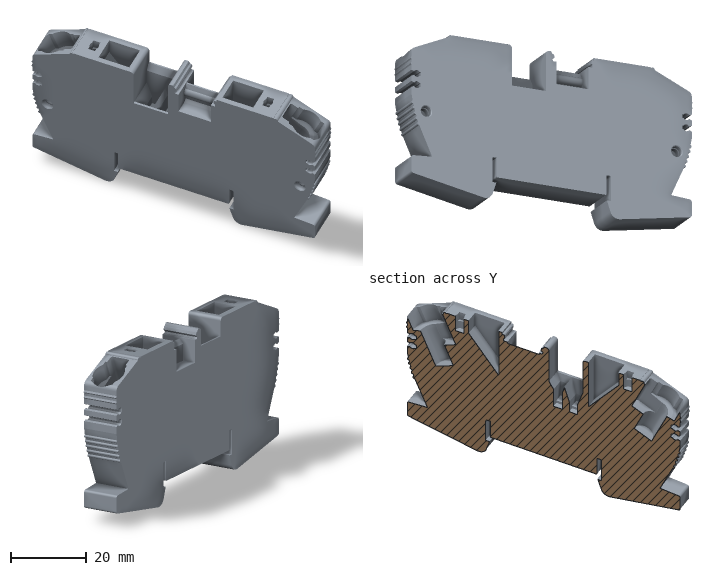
import cadquery as cq
import math

length = 82.6
thickness = 10.1
height = 44.2
half_y = thickness / 2
opening_y = -0.2

tooth_height = 0.25
end_x = length / 2 - tooth_height
tooth_tops = (36.5, 35.0)
tooth_span = 0.8
tooth_tip_drop = 0.5
marker_slot_z = (31.9, 28.75)
marker_slot_depth = 2.7
marker_slot_half = 0.54
marker_mouth_half = 0.8
marker_mouth_depth = 0.7
marker_bulge_depth = 1.6
marker_bulge_diameter = 1.9

grip_top_z = 25.9
grip_mid = (40.15, 21.8)
grip_end = (38.8, 17.6)
ridge_count = 5
ridge_first_z = 23.7
ridge_last_z = 17.9
ridge_pitch = (ridge_first_z - ridge_last_z) / (ridge_count - 1)
ridge_radius = 0.4

foot_crotch = (35.0, 9.2)
foot_top_z = 8.75
foot_low_z = 3.9
foot_slope = math.radians(10.3)
foot_corner_radius = 0.7
hook_radius = 2.5
hook_centre_x = 19.6
hook_lean = math.radians(18.6)
hook_top_z = 4.8
seat_half = 16.1
seat_z = 6.3
rail_slot_outer = 17.35
rail_slot_top_z = 11.8
rail_slot_radius = 0.4
seat_corner_radius = 0.3

shoulder_x = 30.2
shoulder_z = 43.5
shoulder_low_z = 38.7
shoulder_radius = 1.5
lip_width = 0.75
lip_groove_width = 0.5
lip_groove_depth = 0.12
lip_radius = 0.65

pocket_left = -11.65
pocket_right = -1.65
pocket_z = 32.8
pocket_edge_radius = 0.9
pocket_front_y = -4.4
pocket_back_y = 3.4
gap_left = 1.4
gap_right = 10.8
gap_z = 35.2
gap_shoulder_z = 41.5


def prism_xz(points):
    """Extrude an X-Z polygon through the whole thickness."""
    return cq.Workplane("XZ").polyline(points).close().extrude(half_y, both=True)


def box(x0, x1, y0, y1, z0, z1):
    return cq.Workplane("XY").box(x1 - x0, y1 - y0, z1 - z0, centered=False).translate((x0, y0, z0))


def both_ends(shape):
    return shape.union(shape.mirror("YZ"))


def round_edge(body, x, z, radius):
    """Fillet the cross edge that runs through (x, z)."""
    return body.edges("|Y").edges(cq.NearestToPointSelector((x, 0, z))).fillet(radius)


def half_housing():
    slope_start = (hook_centre_x + hook_radius * math.sin(foot_slope),
                   hook_radius * (1 - math.cos(foot_slope)))
    hook_start = (hook_centre_x - hook_radius * math.cos(hook_lean),
                  hook_radius * (1 - math.sin(hook_lean)))
    hook_tip_x = hook_start[0] - (hook_top_z - hook_start[1]) * math.tan(hook_lean)
    groove_outer = shoulder_x - lip_width
    groove_inner = groove_outer - lip_groove_width
    groove_z = height - lip_groove_depth
    half = (
        cq.Workplane("XZ")
        .moveTo(0, seat_z)
        .lineTo(seat_half, seat_z)
        .lineTo(seat_half, rail_slot_top_z)
        .lineTo(rail_slot_outer, rail_slot_top_z)
        .lineTo(rail_slot_outer, hook_top_z)
        .lineTo(hook_tip_x, hook_top_z)
        .lineTo(*hook_start)
        .threePointArc((hook_centre_x, 0), slope_start)
        .lineTo(end_x, slope_start[1] + (end_x - slope_start[0]) * math.tan(foot_slope))
        .lineTo(end_x, foot_top_z)
        .lineTo(*foot_crotch)
        .lineTo(*grip_end)
        .threePointArc(grip_mid, (end_x, grip_top_z))
        .lineTo(end_x, shoulder_low_z)
        .lineTo(shoulder_x, shoulder_z)
        .lineTo(shoulder_x, height)
        .lineTo(groove_outer, height)
        .lineTo(groove_outer, groove_z)
        .lineTo(groove_inner, groove_z)
        .lineTo(groove_inner, height)
        .lineTo(0, height)
        .close()
        .extrude(half_y, both=True)
    )
    half = round_edge(half, end_x, foot_low_z, foot_corner_radius)
    half = round_edge(half, end_x, foot_top_z, foot_corner_radius)
    half = round_edge(half, end_x, shoulder_low_z, shoulder_radius)
    half = round_edge(half, shoulder_x, height, lip_radius)
    half = round_edge(half, rail_slot_outer, rail_slot_top_z, rail_slot_radius)
    half = round_edge(half, seat_half, seat_z, seat_corner_radius)
    for slot_z in marker_slot_z:
        half = half.cut(marker_slot(slot_z))
    for top_z in tooth_tops:
        half = half.union(catch_tooth(top_z))
    for index in range(ridge_count):
        half = half.union(grip_ridge(ridge_first_z - index * ridge_pitch))
    return half


def marker_slot(slot_z):
    """Snap slot: flared mouth, narrow neck and a round bulge."""
    neck_x = end_x - marker_mouth_depth
    back_x = end_x - marker_slot_depth
    slot = prism_xz([
        (end_x, slot_z + marker_mouth_half),
        (neck_x, slot_z + marker_slot_half),
        (back_x, slot_z + marker_slot_half),
        (back_x, slot_z - marker_slot_half),
        (neck_x, slot_z - marker_slot_half),
        (end_x, slot_z - marker_mouth_half),
    ])
    bulge = (
        cq.Workplane("XZ").center(end_x - marker_bulge_depth, slot_z)
        .circle(marker_bulge_diameter / 2).extrude(half_y, both=True)
    )
    return slot.union(bulge)


def catch_tooth(top_z):
    root_x = end_x - tooth_height
    return prism_xz([
        (root_x, top_z),
        (end_x, top_z),
        (end_x + tooth_height, top_z - tooth_tip_drop),
        (end_x, top_z - tooth_span),
        (root_x, top_z - tooth_span),
    ])


def arc_through(first, middle, last):
    """Centre and radius of the circle through three points."""
    (ax, ay), (bx, by), (cx, cy) = first, middle, last
    det = 2 * (ax * (by - cy) + bx * (cy - ay) + cx * (ay - by))
    a2 = ax ** 2 + ay ** 2
    b2 = bx ** 2 + by ** 2
    c2 = cx ** 2 + cy ** 2
    ux = (a2 * (by - cy) + b2 * (cy - ay) + c2 * (ay - by)) / det
    uy = (a2 * (cx - bx) + b2 * (ax - cx) + c2 * (bx - ax)) / det
    return ux, uy, math.hypot(ax - ux, ay - uy)


def grip_ridge(ridge_z):
    """Round ridge centred on the curved grip face."""
    centre_x, centre_z, radius = arc_through(grip_end, grip_mid, (end_x, grip_top_z))
    ridge_x = centre_x + math.sqrt(radius ** 2 - (ridge_z - centre_z) ** 2)
    return cq.Workplane("XZ").center(ridge_x, ridge_z).circle(ridge_radius).extrude(half_y, both=True)


entry_x = 36.5
entry_radius = 4.4
entry_depth = 4.95
entry_flat_half = 3.4
entry_flat_radius = 5.1
entry_flat_inner = 4.1
entry_slot_inner = 6.5
entry_slot_depth = 9.9
entry_slot_radius = 0.5
bore_radius = 2.8
bore_depth = 16.5
bore_rim_radius = 4.05
bore_rim_depth = 0.25
clearance = 2.5


def wire_entry():
    slope = (shoulder_z - shoulder_low_z) / (end_x - shoulder_x)
    tilt = math.atan(slope)
    entry_z = shoulder_z - slope * (entry_x - shoulder_x)
    plane = cq.Plane(
        origin=(entry_x, opening_y, entry_z),
        xDir=(math.cos(tilt), 0, -math.sin(tilt)),
        normal=(math.sin(tilt), 0, math.cos(tilt)),
    )

    def sunk(depth):
        return cq.Workplane(plane).workplane(offset=-depth)

    mouth = sunk(entry_depth).circle(entry_radius).extrude(entry_depth + clearance)
    band_length = 2 * entry_flat_radius
    band = sunk(entry_depth).rect(band_length, 2 * entry_flat_half).extrude(entry_depth + clearance)
    flat = band.intersect(sunk(entry_depth).circle(entry_flat_radius).extrude(entry_depth + clearance))
    flat_end = (
        sunk(entry_depth).center(-entry_flat_inner / 2, 0)
        .rect(entry_flat_inner, 2 * entry_flat_half).extrude(entry_depth + clearance)
    )
    rim = (
        sunk(entry_depth).circle(bore_rim_radius)
        .workplane(offset=-bore_rim_depth).circle(bore_radius).loft()
    )
    slot = (
        sunk(entry_slot_depth).center(-entry_slot_inner / 2, 0)
        .rect(entry_slot_inner, 2 * bore_radius).extrude(entry_slot_depth)
        .edges(cq.selectors.ParallelDirSelector(plane.zDir)).fillet(entry_slot_radius)
    )
    bore = sunk(bore_depth).circle(bore_radius).extrude(bore_depth)
    return mouth.union(flat).union(flat_end).union(rim).union(slot).union(bore)


window_inner = 13.55
window_outer = 22.5
window_width = 6.85
window_wall_z = 39.8
window_floor_z = 28.9
test_x = 25.3
test_diameter = 2.5
test_slot_length = 3.4
test_slot_width = 2.0
test_slot_depth = 2.5
test_depth = 4.95


def release_window():
    """Rectangular shaft whose floor falls steeply towards the middle."""
    shaft = (
        cq.Workplane("XZ")
        .polyline([
            (window_inner, height),
            (window_outer, height),
            (window_outer, window_wall_z),
            (window_inner, window_floor_z),
        ])
        .close()
        .extrude(window_width / 2, both=True)
    )
    return shaft.translate((0, opening_y, 0))


def test_hole():
    deck = cq.Workplane("XY", origin=(test_x, opening_y, height))
    hole = deck.circle(test_diameter / 2).extrude(-test_depth)
    return hole.union(deck.rect(test_slot_width, test_slot_length).extrude(-test_slot_depth))


peg_x = 36.7
peg_z = 21.7
peg_rim_diameter = 3.4
peg_diameter = 3.0
peg_depth = 1.65
peg_pilot_diameter = 2.5
peg_pilot_depth = 3.3


def peg_hole():
    face = cq.Workplane("XZ", origin=(peg_x, -half_y, peg_z))
    rim = (peg_rim_diameter - peg_diameter) / 2
    hole = face.circle(peg_diameter / 2).extrude(-peg_depth)
    pilot = face.circle(peg_pilot_diameter / 2).extrude(-peg_pilot_depth)
    countersink = face.circle(peg_rim_diameter / 2).workplane(offset=-rim).circle(peg_diameter / 2).loft()
    return hole.union(pilot).union(countersink)


ledge_top_z = 39.1
ledge_edge_z = 37.25
ledge_flat_y = 4.6
divider_x = -6.3
well_spans = ((-10.1, -7.8), (-5.5, -3.05))
well_front_y = -3.8
well_taper_z = (28.1, 30.6)
well_floor_z = 25.6
contact_half = 1.5
contact_depth = 0.8


def jumper_pocket():
    profile = [
        (-half_y, pocket_z),
        (-half_y, height),
        (half_y, height),
        (half_y, ledge_top_z),
        (ledge_flat_y, ledge_top_z),
        (pocket_back_y, ledge_edge_z),
        (pocket_back_y, pocket_z),
    ]
    pocket = (
        cq.Workplane("YZ", origin=(pocket_left, 0, 0))
        .polyline(profile).close().extrude(pocket_right - pocket_left)
    )
    mouths = ((pocket_left, divider_x), (divider_x, pocket_right))
    for mouth, span, taper_z in zip(mouths, well_spans, well_taper_z):
        pocket = pocket.union(contact_well(mouth, span, taper_z))
    return pocket


def contact_well(mouth, span, taper_z):
    """Tapered mouth leading into a straight well with a deeper centre strip."""
    mouth_depth = pocket_back_y - pocket_front_y
    well_depth = pocket_back_y - well_front_y
    mouth_x = sum(mouth) / 2
    mouth_y = (pocket_back_y + pocket_front_y) / 2
    well_x = sum(span) / 2
    well_y = (pocket_back_y + well_front_y) / 2
    taper = (
        cq.Workplane("XY", origin=(mouth_x, mouth_y, pocket_z))
        .rect(mouth[1] - mouth[0], mouth_depth)
        .workplane(offset=taper_z - pocket_z)
        .center(well_x - mouth_x, well_y - mouth_y)
        .rect(span[1] - span[0], well_depth)
        .loft(ruled=True)
    )
    well = box(*span, well_front_y, pocket_back_y, well_floor_z, taper_z)
    strip = box(*span, -contact_half, contact_half, well_floor_z - contact_depth, well_floor_z)
    return taper.union(well).union(strip)


partition_snap = [(0.5, gap_shoulder_z), (0.25, 42.0), (0.9, 42.6), (0.7, 43.4), (0.2, 43.5), (-0.2, height)]
deck_snap = [(12.4, height), (12.4, 43.5), (11.9, 43.5), (11.65, 43.3), (11.65, 42.45), (12.0, 42.2),
             (12.0, gap_shoulder_z)]
bar_back_y = 1.4
bar_top_z = 41.05
bar_top_back_y = 0.4
bar_top_front_y = 0.0
bar_back_z = 39.9
bar_nose_top = (-0.7, 39.7)
bar_nose_mid = (-1.4, 38.7)
bar_web = (-0.4, 37.2)
bar_foot_z = 35.8
bar_foot_y = -1.4


def bar_gap():
    """Gap between the partition and the right deck; both rims carry a snap nose."""
    left_wall = [(gap_left, gap_z), (gap_left, gap_shoulder_z)]
    right_wall = [(gap_right, gap_shoulder_z), (gap_right, gap_z)]
    return prism_xz(left_wall + partition_snap + deck_snap + right_wall)


def grip_bar():
    return (
        cq.Workplane("YZ", origin=(gap_left, 0, 0))
        .moveTo(bar_back_y, gap_z)
        .lineTo(bar_back_y, bar_back_z)
        .lineTo(bar_top_back_y, bar_top_z)
        .lineTo(bar_top_front_y, bar_top_z)
        .lineTo(*bar_nose_top)
        .threePointArc(bar_nose_mid, bar_web)
        .lineTo(bar_web[0], bar_foot_z)
        .lineTo(bar_foot_y, gap_z)
        .close()
        .extrude(gap_right - gap_left)
    )


housing = both_ends(half_housing())
housing = housing.cut(jumper_pocket())
housing = round_edge(housing, pocket_left, height, pocket_edge_radius)
housing = round_edge(housing, pocket_right, height, pocket_edge_radius)
housing = housing.cut(bar_gap()).union(grip_bar())
for opening in (wire_entry(), release_window(), test_hole(), peg_hole()):
    housing = housing.cut(both_ends(opening))

result = housing